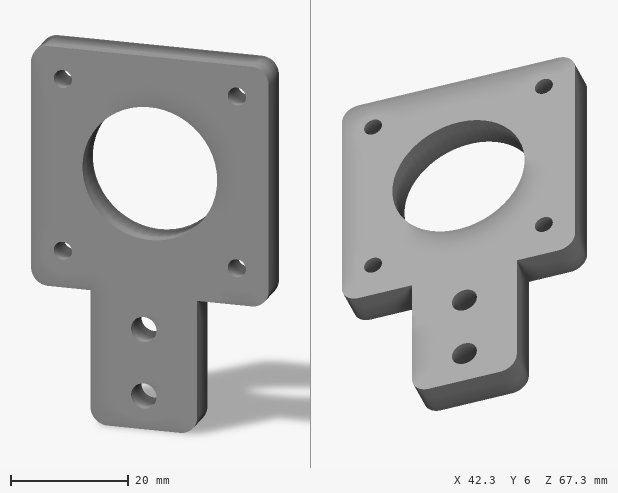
import cadquery as cq

thickness = 6.0
total_height = 67.35
corner_radius = 3.0

plate_width = 42.3
plate_height = 43.2

tab_width = 19.0
tab_offset = -1.1

bore_diameter = 24.0
mount_hole_diameter = 3.2
mount_hole_spacing = 31.0

tab_hole_diameter = 4.5
tab_hole_spacing = 12.0
tab_hole_end_distance = 6.0

plate_top = plate_width / 2
plate_bottom = plate_top - plate_height
tab_bottom = plate_top - total_height
lower_tab_hole_z = tab_bottom + tab_hole_end_distance


def slab(width, bottom, top, center_x):
    """Flat block centred on the mid-thickness plane, spanning bottom to top."""
    height = top - bottom
    return cq.Workplane("XY").box(width, thickness, height).translate((center_x, 0, (bottom + top) / 2))


def drill(body, points, diameter):
    """Cut through holes along Y at the given (x, z) points."""
    start_face = cq.Workplane("XZ", origin=(0, thickness / 2, 0))
    holes = start_face.pushPoints(points).circle(diameter / 2).extrude(thickness)
    return body.cut(holes)


plate = slab(plate_width, plate_bottom, plate_top, 0).edges("|Y").fillet(corner_radius)
tab = slab(tab_width, tab_bottom, plate_bottom, tab_offset).edges("|Y and <Z").fillet(corner_radius)
body = plate.union(tab)

half_spacing = mount_hole_spacing / 2
mount_points = [(x, z) for x in (-half_spacing, half_spacing) for z in (-half_spacing, half_spacing)]
body = drill(body, [(0, 0)], bore_diameter)
body = drill(body, mount_points, mount_hole_diameter)

tab_points = [(tab_offset, lower_tab_hole_z + i * tab_hole_spacing) for i in range(2)]
result = drill(body, tab_points, tab_hole_diameter)